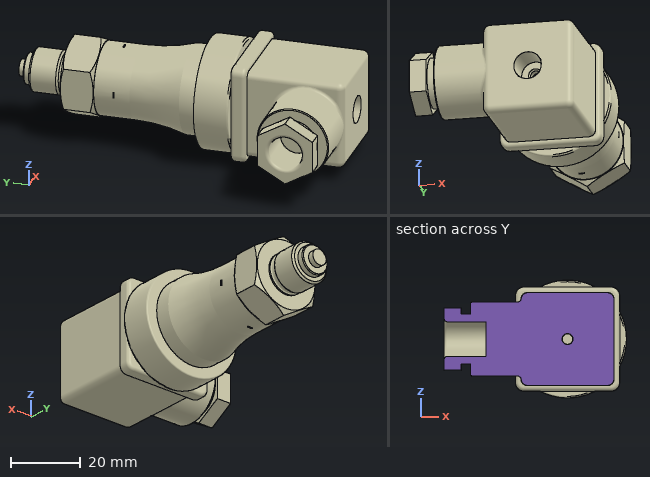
import cadquery as cq
import math


housing_end_y = 0.0
cap_start_y = 29.0
ring_start_y = 33.6
ring_end_y = 44.1
flare_start_y = 49.3
flare_end_y = 64.8
hex_start_y = 75.7
hex_end_y = 85.7
washer_end_y = 86.2
thread_start_y = 87.7
thread_end_y = 96.6
collar_end_y = 98.7
tip_y = 100.6

ring_diameter = 33.9
base_diameter = 26.8
barrel_diameter = 21.9
undercut_diameter = 11.9
thread_diameter = 13.2
collar_diameter = 9.5
tip_diameter = 5.0
main_hex_flats = 21.9
main_hex_face_diameter = 21.6

ring_fillet = 0.5
thread_chamfer = 0.6
collar_chamfer = 0.3
undercut_fillet = 0.5
hex_chamfer_angle = 30.0

slit_y = 69.7
slit_width = 1.6
slit_height = 0.3
slit_depth = 0.3
slit_count = 4

housing_width = base_diameter
housing_fillet = 2.0
cap_width = 30.0
cap_corner_radius = 2.5
cap_edge_fillet = 1.2

bore_diameter = 8.0
bore_depth = 10.1
screw_diameter = 3.0
screw_mouth_diameter = 4.0
screw_depth = 3.0

gland_axis_y = 11.0
gland_diameter = 21.4
gland_end_x = -27.9
gland_chamfer = 0.3
gland_root_fillet = 1.0
neck_diameter = 14.7
nut_corner_diameter = 19.0
nut_length = 5.0
overall_width = 52.4
nut_end_x = ring_diameter / 2 - overall_width
cable_hole_diameter = 10.0
cable_hole_depth = 12.1
cable_hole_mouth_fillet = 1.0


def disc(diameter, start_y, end_y):
    """Cylinder on the main axis between two stations."""
    return (
        cq.Workplane("XZ", origin=(0, start_y, 0))
        .circle(diameter / 2)
        .extrude(start_y - end_y)
    )


def gland_disc(diameter, start_x, end_x):
    """Cylinder on the gland axis between two X positions."""
    return (
        cq.Workplane("YZ", origin=(start_x, gland_axis_y, 0))
        .circle(diameter / 2)
        .extrude(end_x - start_x)
    )


def square_block(width, start_y, end_y, corner_radius):
    """Square block on the main axis with rounded long edges."""
    return (
        cq.Workplane("XZ", origin=(0, start_y, 0))
        .rect(width, width)
        .extrude(start_y - end_y)
        .edges("|Y")
        .fillet(corner_radius)
    )


def make_barrel():
    """Turned barrel whose flare leaves the slim end tangentially."""
    slim = barrel_diameter / 2
    wide = base_diameter / 2
    length = flare_end_y - flare_start_y
    rise = wide - slim
    flare_radius = (length**2 + rise**2) / (2 * rise)
    mid_y = flare_end_y - length / 2
    mid_radius = slim + flare_radius - math.sqrt(flare_radius**2 - (length / 2) ** 2)
    return (
        cq.Workplane("XY")
        .moveTo(0, ring_start_y)
        .lineTo(wide, ring_start_y)
        .lineTo(wide, flare_start_y)
        .threePointArc((mid_radius, mid_y), (slim, flare_end_y))
        .lineTo(slim, hex_start_y)
        .lineTo(0, hex_start_y)
        .close()
        .revolve(360, (0, 0, 0), (0, 1, 0))
    )


def cut_slits(barrel):
    """Short shallow slits spread evenly around the barrel."""
    slit = cq.Workplane("XY").box(slit_width, slit_height, 2 * slit_depth)
    slit = slit.translate((0, slit_y, barrel_diameter / 2))
    for i in range(slit_count):
        barrel = barrel.cut(slit.rotate((0, 0, 0), (0, 1, 0), i * 360 / slit_count))
    return barrel


def make_main_hex():
    """Wrench hexagon with flats toward X and corners chamfered at both ends."""
    corner_radius = main_hex_flats / math.sqrt(3)
    face_radius = main_hex_face_diameter / 2
    drop = (corner_radius - face_radius) * math.tan(math.radians(hex_chamfer_angle))
    prism = (
        cq.Workplane("XZ", origin=(0, hex_start_y, 0))
        .transformed(rotate=(0, 0, 90))
        .polygon(6, 2 * corner_radius)
        .extrude(hex_start_y - hex_end_y)
    )
    envelope = (
        cq.Workplane("XY")
        .moveTo(0, hex_start_y)
        .lineTo(face_radius, hex_start_y)
        .lineTo(corner_radius, hex_start_y + drop)
        .lineTo(corner_radius, hex_end_y - drop)
        .lineTo(face_radius, hex_end_y)
        .lineTo(0, hex_end_y)
        .close()
        .revolve(360, (0, 0, 0), (0, 1, 0))
    )
    return prism.intersect(envelope)


def make_port():
    """Pressure port: washer face, undercut, plain thread cylinder, collar and tip."""
    undercut = undercut_diameter / 2
    thread = thread_diameter / 2
    collar = collar_diameter / 2
    tip = tip_diameter / 2
    arc_inset = undercut_fillet * (1 - math.sqrt(0.5))
    return (
        cq.Workplane("XY")
        .moveTo(0, hex_end_y)
        .lineTo(undercut + undercut_fillet, hex_end_y)
        .lineTo(undercut + undercut_fillet, washer_end_y)
        .threePointArc(
            (undercut + arc_inset, washer_end_y + arc_inset),
            (undercut, washer_end_y + undercut_fillet),
        )
        .lineTo(undercut, thread_start_y)
        .lineTo(thread, thread_start_y + thread_chamfer)
        .lineTo(thread, thread_end_y - thread_chamfer)
        .lineTo(thread - thread_chamfer, thread_end_y)
        .lineTo(collar, thread_end_y)
        .lineTo(collar, collar_end_y - collar_chamfer)
        .lineTo(collar - collar_chamfer, collar_end_y)
        .lineTo(tip, collar_end_y)
        .lineTo(tip, tip_y)
        .lineTo(0, tip_y)
        .close()
        .revolve(360, (0, 0, 0), (0, 1, 0))
    )


def make_housing():
    """Square plug housing with its rounded rim."""
    body = square_block(housing_width, housing_end_y, ring_start_y, housing_fillet)
    body = body.faces("<Y").edges().fillet(housing_fillet)
    cap = square_block(cap_width, cap_start_y, ring_start_y, cap_corner_radius)
    cap = cap.faces("<Y or >Y").edges().fillet(cap_edge_fillet)
    return body.union(cap)


def make_gland():
    """Gland sleeve, neck and hexagonal nut with corners toward Z."""
    nut_inner_x = nut_end_x + nut_length
    sleeve = gland_disc(gland_diameter, gland_end_x, 0)
    sleeve = sleeve.faces("<X").edges().chamfer(gland_chamfer)
    neck = gland_disc(neck_diameter, nut_inner_x, gland_end_x)
    nut = (
        cq.Workplane("YZ", origin=(nut_end_x, gland_axis_y, 0))
        .transformed(rotate=(0, 0, 90))
        .polygon(6, nut_corner_diameter)
        .extrude(nut_length)
    )
    return sleeve.union(neck).union(nut)


def round_gland_root(body):
    """Concave fillet where the gland sleeve meets the housing wall."""
    wall_x = -housing_width / 2
    half_width = housing_width / 2 - housing_fillet
    near_root = cq.selectors.BoxSelector(
        (wall_x - gland_root_fillet, housing_end_y, -half_width),
        (wall_x + housing_fillet, cap_start_y, half_width),
    )
    return body.edges(near_root).edges("not %LINE").fillet(gland_root_fillet)


def cut_cable_hole(body):
    """Blind cable hole with a rounded mouth."""
    radius = cable_hole_diameter / 2
    mouth = cable_hole_mouth_fillet
    arc_inset = mouth * (1 - math.sqrt(0.5))
    hole = (
        cq.Workplane("XY")
        .moveTo(nut_end_x, gland_axis_y)
        .lineTo(nut_end_x, gland_axis_y + radius + mouth)
        .threePointArc(
            (nut_end_x + arc_inset, gland_axis_y + radius + arc_inset),
            (nut_end_x + mouth, gland_axis_y + radius),
        )
        .lineTo(nut_end_x + cable_hole_depth, gland_axis_y + radius)
        .lineTo(nut_end_x + cable_hole_depth, gland_axis_y)
        .close()
        .revolve(360, (0, gland_axis_y, 0), (1, gland_axis_y, 0))
    )
    return body.cut(hole)


def cut_screw_bore(body):
    """Bore in the housing end with a countersunk screw hole at its floor."""
    screw = screw_diameter / 2
    mouth = screw_mouth_diameter / 2
    floor_y = housing_end_y + bore_depth
    cutter = (
        cq.Workplane("XY")
        .moveTo(0, housing_end_y)
        .lineTo(bore_diameter / 2, housing_end_y)
        .lineTo(bore_diameter / 2, floor_y)
        .lineTo(mouth, floor_y)
        .lineTo(screw, floor_y + mouth - screw)
        .lineTo(screw, floor_y + screw_depth)
        .lineTo(0, floor_y + screw_depth)
        .close()
        .revolve(360, (0, 0, 0), (0, 1, 0))
    )
    return body.cut(cutter)


ring = disc(ring_diameter, ring_start_y, ring_end_y).edges().fillet(ring_fillet)

result = round_gland_root(make_housing().union(make_gland()))
result = cut_screw_bore(cut_cable_hole(result))
result = result.union(ring).union(cut_slits(make_barrel()))
result = result.union(make_main_hex()).union(make_port())